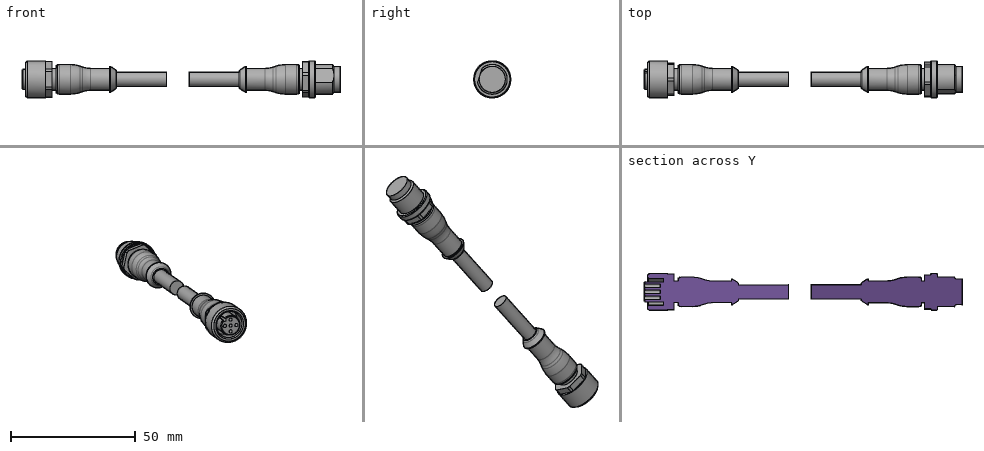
import cadquery as cq
import math


total_length = 127.7
socket_grip_start = 13.7
plug_grip_start = 111.4
hex_sides = 6
plug_twist = 17.5

grip_radius = 6.0
lip_face_radius = 5.5
lip_edge_radius = 5.9
lip_edge_length = 0.5
lip_length = 1.3
barrel_length = 5.7
shoulder_length = 3.7
cone_length = 1.1
waist_length = 3.2
taper_angle = 19.0
ridge_start = 21.3
ridge_width = 0.4
ridge_radius = 5.2
dome_end = 23.8
dome_end_radius = 4.0
grip_length = 24.3
grip_end_radius = 3.5
cable_radius = 3.0
cable_end = 44.3
neck_radius = 4.4

nut_front = 1.3
nut_radius = 7.47
nut_chamfer = 0.8
nut_round_end = 9.5
nut_back = 12.0
nut_hex_flats = 13.0
nut_hex_corner_radius = 7.22
nut_bore_radius = 5.4
nut_bore_chamfer = 0.5
nut_bore_end = 7.7
insert_radius = 4.1
insert_chamfer = 0.4
contact_radius = 0.6
contact_circle_radius = 2.4
contact_count = 4
contact_depth = 6.4
keyway_radius = 0.6
keyway_offset = 3.6
keyway_angle = 45.0

hex_front = 112.5
hex_corner_radius = 7.22
hex_flats = 13.0
collar_start = 114.9
collar_end = 117.7
collar_radius = 7.47
collar_chamfer = 0.4
barrel_end = 125.1
barrel_radius = 6.0
barrel_chamfer_length = 0.6
tip_radius = 5.2
barrel_flat_offset = 5.2


def revolve_about_x(profile):
    """Revolve a closed profile, drawn with its first coordinate along X, about the X axis."""
    return profile.close().revolve(360, (0, 0, 0), (1, 0, 0))


def x_cylinder(x_start, x_end, radius, y=0.0, z=0.0):
    """Solid cylinder parallel to X."""
    return (
        cq.Workplane("YZ", origin=(x_start, y, z))
        .circle(radius)
        .extrude(x_end - x_start)
    )


def rounded_hexagon(x_start, x_end, flats, corner_radius):
    """Hexagonal prism along X with corners at +Z and -Z, turned down to the corner radius."""
    hexagon = (
        cq.Workplane("YZ", origin=(x_start, 0, 0))
        .transformed(rotate=(0, 0, 90))
        .polygon(hex_sides, flats / math.cos(math.pi / hex_sides))
        .extrude(x_end - x_start)
    )
    return hexagon.intersect(x_cylinder(x_start, x_end, corner_radius))


def make_grip_with_cable():
    """Grip with its front face at X = 0 and the cable leaving towards +X."""
    half_angle_slope = math.tan(math.radians(taper_angle / 2))
    cone_slope = math.tan(math.radians(taper_angle))
    cone_start = barrel_length + shoulder_length
    cone_start_radius = grip_radius - shoulder_length * half_angle_slope
    cone_end = cone_start + cone_length
    cone_end_radius = cone_start_radius - cone_length * cone_slope
    sleeve_start = cone_end + waist_length
    sleeve_radius = cone_end_radius - waist_length * half_angle_slope

    profile = (
        cq.Workplane("XZ")
        .moveTo(0, 0)
        .lineTo(0, lip_face_radius)
        .lineTo(lip_edge_length, lip_edge_radius)
        .lineTo(lip_length, grip_radius)
        .lineTo(barrel_length, grip_radius)
        .tangentArcPoint((cone_start, cone_start_radius), relative=False)
        .lineTo(cone_end, cone_end_radius)
        .tangentArcPoint((sleeve_start, sleeve_radius), relative=False)
        .lineTo(ridge_start, sleeve_radius)
        .lineTo(ridge_start, ridge_radius)
        .lineTo(ridge_start + ridge_width, ridge_radius)
        .lineTo(dome_end, dome_end_radius)
        .lineTo(grip_length, grip_end_radius)
        .lineTo(grip_length, cable_radius)
        .lineTo(cable_end, cable_radius)
        .lineTo(cable_end, 0)
    )
    return revolve_about_x(profile)


def make_coupling_nut():
    """Round nut with an open front bore and a hexagonal rear."""
    profile = (
        cq.Workplane("XY")
        .moveTo(nut_front, -(nut_bore_radius + nut_bore_chamfer))
        .lineTo(nut_front, -(nut_radius - nut_chamfer))
        .lineTo(nut_front + nut_chamfer, -nut_radius)
        .lineTo(nut_round_end, -nut_radius)
        .lineTo(nut_round_end, 0)
        .lineTo(nut_bore_end, 0)
        .lineTo(nut_bore_end, -nut_bore_radius)
        .lineTo(nut_front + nut_bore_chamfer, -nut_bore_radius)
    )
    nut_hexagon = rounded_hexagon(nut_round_end, nut_back, nut_hex_flats, nut_hex_corner_radius)
    return revolve_about_x(profile).union(nut_hexagon)


def make_contact_insert():
    """Insert standing in the nut bore, with five contact holes and a coding keyway."""
    insert = x_cylinder(0, nut_bore_end, insert_radius).faces("<X").chamfer(insert_chamfer)
    insert = insert.cut(x_cylinder(0, contact_depth, contact_radius))
    for index in range(contact_count):
        angle = math.radians(index * 360 / contact_count)
        contact_y = contact_circle_radius * math.cos(angle)
        contact_z = contact_circle_radius * math.sin(angle)
        insert = insert.cut(x_cylinder(0, contact_depth, contact_radius, contact_y, contact_z))
    keyway_y = keyway_offset * math.cos(math.radians(keyway_angle))
    keyway_z = keyway_offset * math.sin(math.radians(keyway_angle))
    return insert.cut(x_cylinder(0, contact_depth, keyway_radius, keyway_y, keyway_z))


def make_socket_half():
    neck = x_cylinder(nut_back, socket_grip_start, neck_radius)
    grip = make_grip_with_cable().translate((socket_grip_start, 0, 0))
    return make_coupling_nut().union(make_contact_insert()).union(neck).union(grip)


def make_plug_front():
    """Chamfered collar, thread barrel with one flat, and the plain tip."""
    profile = (
        cq.Workplane("XZ")
        .moveTo(collar_start, 0)
        .lineTo(collar_start, collar_radius - collar_chamfer)
        .lineTo(collar_start + collar_chamfer, collar_radius)
        .lineTo(collar_end - collar_chamfer, collar_radius)
        .lineTo(collar_end, collar_radius - collar_chamfer)
        .lineTo(collar_end, barrel_radius)
        .lineTo(barrel_end - barrel_chamfer_length, barrel_radius)
        .lineTo(barrel_end, tip_radius)
        .lineTo(total_length, tip_radius)
        .lineTo(total_length, 0)
    )
    flat_depth = barrel_radius - barrel_flat_offset
    flat_cutter = cq.Workplane("XY").box(
        barrel_end - collar_end, flat_depth, 2 * barrel_radius, centered=(False, False, True)
    )
    flat_cutter = flat_cutter.translate((collar_end, -barrel_radius, 0))
    return revolve_about_x(profile).cut(flat_cutter)


def make_plug_half():
    neck = x_cylinder(plug_grip_start, hex_front, neck_radius)
    hexagon = rounded_hexagon(hex_front, collar_start, hex_flats, hex_corner_radius)
    hexagon = hexagon.rotate((0, 0, 0), (1, 0, 0), 180 / hex_sides)
    grip = make_grip_with_cable().mirror("YZ").translate((plug_grip_start, 0, 0))
    plug = make_plug_front().union(hexagon).union(neck).union(grip)
    return plug.rotate((0, 0, 0), (1, 0, 0), -plug_twist)


socket_half = make_socket_half()
plug_half = make_plug_half()

result = cq.Compound.makeCompound([socket_half.val(), plug_half.val()])